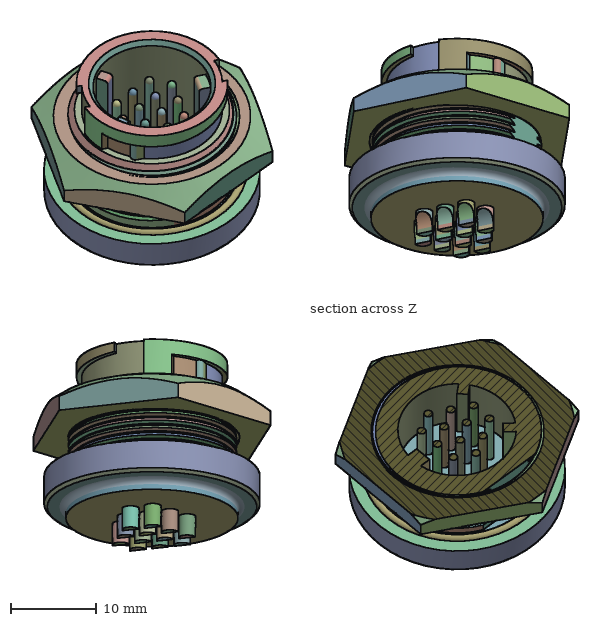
import cadquery as cq
import math

RING_BOTTOM = 2.65
RING_RADIUS = 10.12
FLANGE_BOTTOM = 4.05
FLANGE_TOP = 7.85
FLANGE_RADIUS = 12.7
FLANGE_CHAMFER = 0.38
RING_FILLET = 0.75

SEAL_RADIUS = 10.7
SEAL_SECTION_RADIUS = 0.53
SEAL_TOP = 8.2

BARREL_RADIUS = 9.95
BARREL_TOP = 17.48
BARREL_CHAMFER = 0.82
COLLAR_TOP = 8.75
FLAT_DISTANCE = 9.0

FLANK_ANGLE = 30.0
BARREL_ROOT_RADIUS = 9.5
BARREL_ROOT_WIDTH = 0.12
BARREL_THREAD_START = 8.45
BARREL_THREAD_END = 17.07
BARREL_THREAD_TURNS = 9.4
PITCH = (BARREL_THREAD_END - BARREL_THREAD_START) / BARREL_THREAD_TURNS
NUT_BORE_RADIUS = 9.8
NUT_ROOT_RADIUS = 10.3
NUT_ROOT_WIDTH = 0.25

NUT_CORNER_DIAMETER = 29.33
NUT_BOTTOM = 12.6
NUT_TOP = 16.5
NUT_FACE_RADIUS = 11.6
NUT_CHAMFER_ANGLE = 35.0
NUT_THREAD_START = 11.73

NECK_RADIUS = 8.27
LIP_RADIUS = 8.9
LIP_BOTTOM = 20.03
LIP_TOP = 21.82
ENTRY_HALF_WIDTH = 1.82
STOP_OUTER_X = 4.87
RAMP_RISE_PER_TURN = 2.9
RAMP_SWEEP_ANGLE = 84.0
DETENT_NOSE_RADIUS = 0.55
DETENT_FACE_X = 7.68
DETENT_NOSE_Y = 4.0
DETENT_END_Y = 2.65

SOCKET_RADIUS = 6.92
SOCKET_CHAMFER = 0.53
SOCKET_FLOOR = FLANGE_TOP
KEY_TOP = 20.5
KEY_INNER_RADIUS = 5.43
KEY_FILLET = 0.45
MAIN_KEY_WIDTH = 2.25
SIDE_KEY_WIDTH = 1.38
SIDE_KEY_ANGLE = 140.0
KEYS = ((MAIN_KEY_WIDTH, 0), (SIDE_KEY_WIDTH, SIDE_KEY_ANGLE), (SIDE_KEY_WIDTH, -SIDE_KEY_ANGLE))
CONTACT_PITCH = 2.73
ROW_PITCH = CONTACT_PITCH * math.sin(math.radians(60))
CONTACT_ROWS = ((4, 3), (1, 4), (-2, 3), (-5, 2))
CONTACT_RADIUS = 0.53
CONTACT_TIP = 18.7
TAIL_RADIUS = 1.0
TAIL_SCOOP_RADIUS = 2 * TAIL_RADIUS
TAIL_SCOOP_END = 0.55

OVERCUT = 0.3
MOUTH_OVERCUT = 0.03


def cylinder(radius, bottom, top):
    return cq.Workplane("XY").workplane(offset=bottom).circle(radius).extrude(top - bottom)


def box(x_range, y_range, z_range):
    (x0, x1), (y0, y1), (z0, z1) = x_range, y_range, z_range
    return cq.Workplane("XY").box(x1 - x0, y1 - y0, z1 - z0, centered=False).translate((x0, y0, z0))


def half_turn(feature):
    """The same feature on the opposite side of the axis."""
    return feature.rotate((0, 0, 0), (0, 0, 1), 180)


def thread_groove(root_radius, root_width, mouth_radius, start, end):
    """Right-hand helical groove, trapezoidal in section, starting on the +X side."""
    flank = abs(mouth_radius - root_radius) * math.tan(math.radians(FLANK_ANGLE))
    half_root = root_width / 2
    half_mouth = half_root + flank
    section = (
        cq.Workplane("XZ")
        .moveTo(root_radius, -half_root)
        .lineTo(mouth_radius, -half_mouth)
        .lineTo(mouth_radius, half_mouth)
        .lineTo(root_radius, half_root)
        .close()
    )
    helix = cq.Wire.makeHelix(PITCH, end - start, root_radius)
    return section.sweep(cq.Workplane(helix), isFrenet=True).translate((0, 0, start))


def flange():
    """Flange with a chamfered rear edge, blended into the rear ring."""
    blend_bottom = FLANGE_BOTTOM - RING_FILLET
    blend_mid = RING_FILLET * (1 - math.sqrt(0.5))
    return (
        cq.Workplane("XZ")
        .moveTo(0, RING_BOTTOM)
        .lineTo(RING_RADIUS, RING_BOTTOM)
        .lineTo(RING_RADIUS, blend_bottom)
        .threePointArc(
            (RING_RADIUS + blend_mid, FLANGE_BOTTOM - blend_mid),
            (RING_RADIUS + RING_FILLET, FLANGE_BOTTOM),
        )
        .lineTo(FLANGE_RADIUS - FLANGE_CHAMFER, FLANGE_BOTTOM)
        .lineTo(FLANGE_RADIUS, FLANGE_BOTTOM + FLANGE_CHAMFER)
        .lineTo(FLANGE_RADIUS, FLANGE_TOP)
        .lineTo(0, FLANGE_TOP)
        .close()
        .revolve(360, (0, 0, 0), (0, 1, 0))
    )


def seal():
    """Ring of round section around the barrel foot."""
    return (
        cq.Workplane("XZ")
        .center(SEAL_RADIUS, SEAL_TOP - SEAL_SECTION_RADIUS)
        .circle(SEAL_SECTION_RADIUS)
        .revolve(360, (-SEAL_RADIUS, 0, 0), (-SEAL_RADIUS, 1, 0))
    )


def barrel():
    """Threaded barrel above a plain collar, with a flat along its -X side."""
    blank = cylinder(BARREL_RADIUS, FLANGE_TOP, BARREL_TOP + PITCH)
    groove_mouth = BARREL_RADIUS + MOUTH_OVERCUT
    groove = thread_groove(
        BARREL_ROOT_RADIUS, BARREL_ROOT_WIDTH, groove_mouth, BARREL_THREAD_START, BARREL_THREAD_END
    )
    envelope = cylinder(BARREL_RADIUS, FLANGE_TOP, BARREL_TOP).faces(">Z").chamfer(BARREL_CHAMFER)
    threaded = blank.cut(groove).intersect(envelope)
    plain = threaded.union(cylinder(BARREL_RADIUS, FLANGE_TOP, COLLAR_TOP))
    flat = box(
        (-BARREL_RADIUS - OVERCUT, -FLAT_DISTANCE),
        (-BARREL_RADIUS, BARREL_RADIUS),
        (FLANGE_TOP, BARREL_TOP),
    )
    return plain.cut(flat)


def lip_ramp():
    """Helical cut that raises the underside of the lip from the -X side to the -Y entry slot."""
    inner_radius = NECK_RADIUS - OVERCUT
    depth = LIP_RADIUS + OVERCUT - inner_radius
    height = LIP_TOP - LIP_BOTTOM
    rise = RAMP_RISE_PER_TURN * RAMP_SWEEP_ANGLE / 360
    helix = cq.Wire.makeHelix(RAMP_RISE_PER_TURN, rise, inner_radius)
    section = cq.Workplane("XZ").center(inner_radius + depth / 2, -height / 2).rect(depth, height)
    ramp = section.sweep(cq.Workplane(helix), isFrenet=True)
    return half_turn(ramp.translate((0, 0, LIP_BOTTOM)))


def lip():
    """Bayonet lip with an entry slot on each of the +Y and -Y sides."""
    ring = cylinder(LIP_RADIUS, LIP_BOTTOM, LIP_TOP).cut(cylinder(NECK_RADIUS, LIP_BOTTOM, LIP_TOP))
    reach = LIP_RADIUS + OVERCUT
    slots = box((-ENTRY_HALF_WIDTH, ENTRY_HALF_WIDTH), (-reach, reach), (LIP_BOTTOM, LIP_TOP))
    return ring.cut(slots).cut(lip_ramp()).cut(half_turn(lip_ramp()))


def stop():
    """Wall under the lip that closes the bayonet track beside the -Y entry slot."""
    block = box((ENTRY_HALF_WIDTH, STOP_OUTER_X), (-LIP_RADIUS, 0), (BARREL_TOP, LIP_BOTTOM))
    return block.intersect(cylinder(LIP_RADIUS, BARREL_TOP, LIP_BOTTOM))


def detent():
    """Flat-sided bump with a rounded nose on the +X side of the bayonet track."""
    nose_x = DETENT_FACE_X - DETENT_NOSE_RADIUS
    nose = cylinder(DETENT_NOSE_RADIUS, BARREL_TOP, LIP_BOTTOM).translate((nose_x, -DETENT_NOSE_Y, 0))
    body = box((nose_x, DETENT_FACE_X), (-DETENT_NOSE_Y, -DETENT_END_Y), (BARREL_TOP, LIP_BOTTOM))
    return nose.union(body)


def coupling():
    """Neck with the lip, and a stop and detent in each of its two bayonet tracks."""
    neck = cylinder(NECK_RADIUS, BARREL_TOP, LIP_TOP).union(lip())
    for feature in (stop(), detent()):
        neck = neck.union(feature).union(half_turn(feature))
    return neck


def socket():
    """Cavity that holds the contacts, with a chamfered mouth."""
    return (
        cq.Workplane("XZ")
        .moveTo(0, SOCKET_FLOOR)
        .lineTo(SOCKET_RADIUS, SOCKET_FLOOR)
        .lineTo(SOCKET_RADIUS, LIP_TOP - SOCKET_CHAMFER)
        .lineTo(SOCKET_RADIUS + SOCKET_CHAMFER, LIP_TOP)
        .lineTo(0, LIP_TOP)
        .close()
        .revolve(360, (0, 0, 0), (0, 1, 0))
    )


def key(width, angle):
    """Rib on the socket wall, turned by angle from the +Y side."""
    wall_overlap = SOCKET_RADIUS + OVERCUT
    rib = box((-width / 2, width / 2), (KEY_INNER_RADIUS, wall_overlap), (SOCKET_FLOOR, KEY_TOP))
    rib = rib.edges("<Y and >Z").fillet(KEY_FILLET)
    return rib.rotate((0, 0, 0), (0, 0, 1), angle)


def contact_places():
    """Triangular grid of contacts centred on one of its triangles."""
    return [
        ((column - (count - 1) / 2) * CONTACT_PITCH, thirds * ROW_PITCH / 3)
        for thirds, count in CONTACT_ROWS
        for column in range(count)
    ]


def contact():
    """Two pieces: a round-nosed pin on the socket floor and a scooped solder tail below the rear ring."""
    pin = cylinder(CONTACT_RADIUS, SOCKET_FLOOR, CONTACT_TIP - CONTACT_RADIUS)
    nose = cq.Workplane("XY").sphere(CONTACT_RADIUS).translate((0, 0, CONTACT_TIP - CONTACT_RADIUS))
    tail = cylinder(TAIL_RADIUS, 0, RING_BOTTOM)
    half = box((-TAIL_RADIUS, TAIL_RADIUS), (0, TAIL_RADIUS), (0, TAIL_SCOOP_END))
    scoop = (
        cq.Workplane("YZ")
        .center(TAIL_SCOOP_RADIUS, TAIL_SCOOP_END)
        .circle(TAIL_SCOOP_RADIUS)
        .extrude(TAIL_RADIUS, both=True)
    )
    return pin.union(nose), tail.cut(half).cut(scoop)


def receptacle_body():
    """Flange, seal, barrel, coupling, keys and contacts as one solid."""
    base = flange().union(seal())
    for x, y in contact_places():
        for piece in contact():
            base = base.union(piece.translate((x, y, 0)))
    front = coupling().cut(socket())
    for width, angle in KEYS:
        front = front.union(key(width, angle))
    return front.union(barrel().cut(socket())).union(base)


def nut_body():
    """Hexagonal nut with a conical front chamfer and an internal thread."""
    hexagon = (
        cq.Workplane("XY")
        .workplane(offset=NUT_BOTTOM)
        .polygon(6, NUT_CORNER_DIAMETER)
        .extrude(NUT_TOP - NUT_BOTTOM)
    )
    cone_radius = NUT_CORNER_DIAMETER / 2 + OVERCUT
    cone_drop = (cone_radius - NUT_FACE_RADIUS) * math.tan(math.radians(NUT_CHAMFER_ANGLE))
    envelope = (
        cq.Workplane("XZ")
        .moveTo(0, NUT_BOTTOM)
        .lineTo(cone_radius, NUT_BOTTOM)
        .lineTo(cone_radius, NUT_TOP - cone_drop)
        .lineTo(NUT_FACE_RADIUS, NUT_TOP)
        .lineTo(0, NUT_TOP)
        .close()
        .revolve(360, (0, 0, 0), (0, 1, 0))
    )
    blank = hexagon.intersect(envelope).cut(cylinder(NUT_BORE_RADIUS, NUT_BOTTOM, NUT_TOP))
    groove_mouth = NUT_BORE_RADIUS - MOUTH_OVERCUT
    groove = thread_groove(
        NUT_ROOT_RADIUS, NUT_ROOT_WIDTH, groove_mouth, NUT_THREAD_START, NUT_TOP + PITCH
    )
    return blank.cut(groove)


receptacle = receptacle_body()
nut = nut_body()
result = cq.Compound.makeCompound([receptacle.solids().val(), nut.solids().val()])